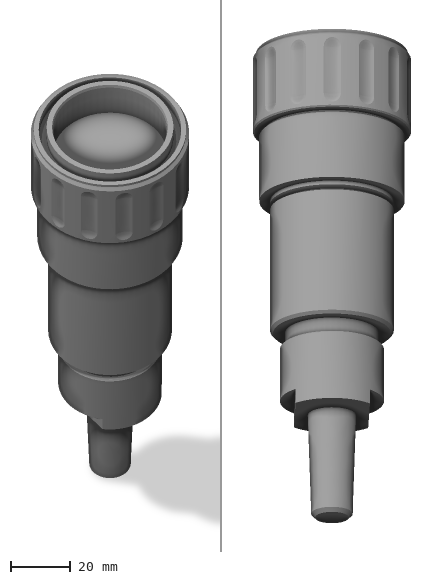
import cadquery as cq

HEIGHT = 166.4
SHANK_TOP = 36.5
CHUCK_TOP = 60.5
BARREL_BOTTOM = 65.7
BARREL_TOP = 109.7
RIM_BOTTOM = 111.5
SLEEVE_BOTTOM = 112.8
SLEEVE_TOP = 136.3
COLLAR_BOTTOM = 137.3
COLLAR_TOP = 165.2

BARREL_GROOVE_FLOOR = 0.5
BARREL_GROOVE_MIDDLE = (BARREL_TOP + RIM_BOTTOM) / 2

SHANK_TIP_RADIUS = 7.0
SHANK_ROOT_RADIUS = 8.2
CHUCK_RADIUS = 17.5
CHUCK_NECK_RADIUS = 15.8
BARREL_RADIUS = 20.8
BARREL_GROOVE_RADIUS = 18.6
SLEEVE_RADIUS = 24.5
SLEEVE_NECK_RADIUS = 23.0
COLLAR_RADIUS = 26.6

SHANK_CHAMFER = 1.3
BARREL_CHAMFER = 1.0
SMALL_CHAMFER = 0.5
COLLAR_TOP_CHAMFER = 1.0

COLLAR_LIP_HEIGHT = 1.0
COLLAR_LIP_RADIUS = COLLAR_RADIUS - COLLAR_TOP_CHAMFER

RING_RADIUS = 21.3
BORE_RADIUS = 19.1
BORE_DEPTH = 13.3
BORE_LEAD_WIDTH = 0.3
BORE_LEAD_DEPTH = 1.0
MOAT_OUTER_RADIUS = 24.0
MOAT_DEPTH = 5
MOAT_FLOOR = COLLAR_TOP - MOAT_DEPTH
MOAT_CHAMFER = 1.0

FLUTE_COUNT = 14
FLUTE_CUTTER_RADIUS = 6.5
FLUTE_DEPTH = 0.8
FLUTE_STRAIGHT_BOTTOM = 142.1
FLUTE_STRAIGHT_TOP = 158.7

ACROSS_FLATS = 25
FLAT_HEIGHT = 5
FLAT_TURN = 14


def turned_body():
    """Solid of revolution that carries every stepped section."""
    profile = [
        (0, 0),
        (SHANK_TIP_RADIUS - SHANK_CHAMFER, 0),
        (SHANK_TIP_RADIUS, SHANK_CHAMFER),
        (SHANK_ROOT_RADIUS, SHANK_TOP),
        (CHUCK_RADIUS, SHANK_TOP),
        (CHUCK_RADIUS, CHUCK_TOP - SMALL_CHAMFER),
        (CHUCK_RADIUS - SMALL_CHAMFER, CHUCK_TOP),
        (CHUCK_NECK_RADIUS, CHUCK_TOP),
        (CHUCK_NECK_RADIUS, BARREL_BOTTOM),
        (BARREL_RADIUS - BARREL_CHAMFER, BARREL_BOTTOM),
        (BARREL_RADIUS, BARREL_BOTTOM + BARREL_CHAMFER),
        (BARREL_RADIUS, BARREL_TOP),
        (BARREL_GROOVE_RADIUS, BARREL_GROOVE_MIDDLE - BARREL_GROOVE_FLOOR / 2),
        (BARREL_GROOVE_RADIUS, BARREL_GROOVE_MIDDLE + BARREL_GROOVE_FLOOR / 2),
        (BARREL_RADIUS, RIM_BOTTOM),
        (BARREL_RADIUS, SLEEVE_BOTTOM),
        (SLEEVE_RADIUS, SLEEVE_BOTTOM),
        (SLEEVE_RADIUS, SLEEVE_TOP - SMALL_CHAMFER),
        (SLEEVE_RADIUS - SMALL_CHAMFER, SLEEVE_TOP),
        (SLEEVE_NECK_RADIUS, SLEEVE_TOP),
        (SLEEVE_NECK_RADIUS, COLLAR_BOTTOM),
        (COLLAR_RADIUS - SMALL_CHAMFER, COLLAR_BOTTOM),
        (COLLAR_RADIUS, COLLAR_BOTTOM + SMALL_CHAMFER),
        (COLLAR_RADIUS, COLLAR_TOP - COLLAR_LIP_HEIGHT - COLLAR_TOP_CHAMFER),
        (COLLAR_LIP_RADIUS, COLLAR_TOP - COLLAR_LIP_HEIGHT),
        (COLLAR_LIP_RADIUS, COLLAR_TOP),
        (MOAT_OUTER_RADIUS, COLLAR_TOP),
        (MOAT_OUTER_RADIUS, MOAT_FLOOR + MOAT_CHAMFER),
        (MOAT_OUTER_RADIUS - MOAT_CHAMFER, MOAT_FLOOR),
        (RING_RADIUS + MOAT_CHAMFER, MOAT_FLOOR),
        (RING_RADIUS, MOAT_FLOOR + MOAT_CHAMFER),
        (RING_RADIUS, HEIGHT),
        (BORE_RADIUS + BORE_LEAD_WIDTH, HEIGHT),
        (BORE_RADIUS, HEIGHT - BORE_LEAD_DEPTH),
        (BORE_RADIUS, HEIGHT - BORE_DEPTH),
        (0, HEIGHT - BORE_DEPTH),
    ]
    return cq.Workplane("XZ").polyline(profile).close().revolve(360, (0, 0), (0, 1))


def flute_cutter():
    """Round-ended bar, upright, that sinks into the -Y side of the collar."""
    axis_radius = COLLAR_RADIUS - FLUTE_DEPTH + FLUTE_CUTTER_RADIUS
    length = FLUTE_STRAIGHT_TOP - FLUTE_STRAIGHT_BOTTOM
    bar = cq.Workplane("XY").circle(FLUTE_CUTTER_RADIUS).extrude(length)
    for end in (0, length):
        bar = bar.union(cq.Workplane("XY").sphere(FLUTE_CUTTER_RADIUS).translate((0, 0, end)))
    return bar.translate((0, -axis_radius, FLUTE_STRAIGHT_BOTTOM))


def flat_cutter():
    """Block that removes everything beyond one spanner flat, on the -Y side."""
    return (
        cq.Workplane("XY")
        .box(2 * CHUCK_RADIUS, CHUCK_RADIUS, FLAT_HEIGHT, centered=(True, False, False))
        .translate((0, -ACROSS_FLATS / 2 - CHUCK_RADIUS, SHANK_TOP))
    )


def turn(shape, angle):
    """Shape turned about the part's axis, in degrees."""
    return shape.rotate((0, 0, 0), (0, 0, 1), angle)


result = turned_body()

for index in range(FLUTE_COUNT):
    result = result.cut(turn(flute_cutter(), index * 360 / FLUTE_COUNT))

for side in (0, 180):
    result = result.cut(turn(flat_cutter(), FLAT_TURN + side))